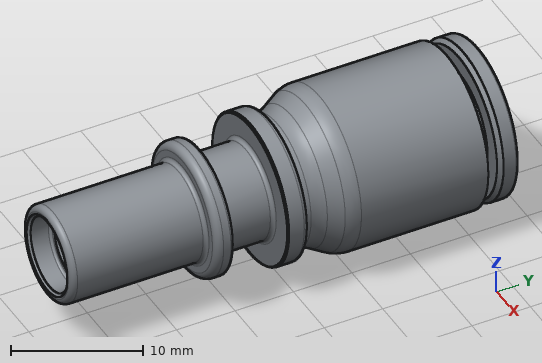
import cadquery as cq
import math

length = 36.9

shank_radius = 4.0
tip_round = 0.5
root_fillet = 0.35

ring_radius = 5.5
ring_front = 11.6
ring_back = 13.1
ring_front_round = 0.63
ring_back_round = 0.25

flange_radius = 6.2
flange_front = 17.35
flange_back = 19.1
flange_front_chamfer = 0.1
flange_back_round = 0.37

neck_radius = 5.42
neck_fillet = 0.2
taper_start = 19.75
taper_angle = math.radians(30)
blend_radius = 2.45
body_radius = 6.75
body_back = 34.2

collar_neck_radius = 4.7
collar_radius = 6.55
collar_front = 35.25
collar_front_chamfer = 0.37
collar_back_round = 0.22

bore_radius = 2.47
counterbore_radius = 3.05
counterbore_depth = 1.95
counterbore_fillet = 0.22
mouth_chamfer = 0.22

blend_rise = blend_radius * (1 - math.cos(taper_angle))
blend_run = blend_radius * math.sin(taper_angle)
cone_rise = body_radius - neck_radius - 2 * blend_rise
cone_run = cone_rise / math.tan(taper_angle)
cone_start = taper_start + blend_run
cone_end = cone_start + cone_run
taper_end = cone_end + blend_run


def fillet(profile, end_radius, end_station, size):
    return profile.radiusArc((end_radius, end_station), size)


def round_over(profile, end_radius, end_station, size):
    return profile.radiusArc((end_radius, end_station), -size)


def outer_body():
    profile = cq.Workplane("XY").lineTo(shank_radius - tip_round, 0)

    profile = round_over(profile, shank_radius, tip_round, tip_round)
    profile = profile.lineTo(shank_radius, ring_front - root_fillet)
    profile = fillet(profile, shank_radius + root_fillet, ring_front, root_fillet)

    profile = profile.lineTo(ring_radius - ring_front_round, ring_front)
    profile = round_over(profile, ring_radius, ring_front + ring_front_round, ring_front_round)
    profile = profile.lineTo(ring_radius, ring_back - ring_back_round)
    profile = round_over(profile, ring_radius - ring_back_round, ring_back, ring_back_round)
    profile = profile.lineTo(shank_radius + root_fillet, ring_back)
    profile = fillet(profile, shank_radius, ring_back + root_fillet, root_fillet)

    profile = profile.lineTo(shank_radius, flange_front - root_fillet)
    profile = fillet(profile, shank_radius + root_fillet, flange_front, root_fillet)

    profile = profile.lineTo(flange_radius - flange_front_chamfer, flange_front)
    profile = profile.lineTo(flange_radius, flange_front + flange_front_chamfer)
    profile = profile.lineTo(flange_radius, flange_back - flange_back_round)
    profile = round_over(profile, flange_radius - flange_back_round, flange_back, flange_back_round)
    profile = profile.lineTo(neck_radius + neck_fillet, flange_back)
    profile = fillet(profile, neck_radius, flange_back + neck_fillet, neck_fillet)

    profile = profile.lineTo(neck_radius, taper_start)
    profile = fillet(profile, neck_radius + blend_rise, cone_start, blend_radius)
    profile = profile.lineTo(body_radius - blend_rise, cone_end)
    profile = round_over(profile, body_radius, taper_end, blend_radius)
    profile = profile.lineTo(body_radius, body_back)

    profile = (
        profile.lineTo(collar_neck_radius, body_back)
        .lineTo(collar_neck_radius, collar_front)
        .lineTo(collar_radius - collar_front_chamfer, collar_front)
        .lineTo(collar_radius, collar_front + collar_front_chamfer)
        .lineTo(collar_radius, length - collar_back_round)
    )
    profile = round_over(profile, collar_radius - collar_back_round, length, collar_back_round)
    return profile.lineTo(0, length).close().revolve(360, (0, 0, 0), (0, 1, 0))


def bore():
    profile = (
        cq.Workplane("XY")
        .lineTo(counterbore_radius + mouth_chamfer, 0)
        .lineTo(counterbore_radius, mouth_chamfer)
        .lineTo(counterbore_radius, counterbore_depth - counterbore_fillet)
    )
    profile = round_over(
        profile, counterbore_radius - counterbore_fillet, counterbore_depth, counterbore_fillet
    )
    profile = profile.lineTo(bore_radius, counterbore_depth).lineTo(bore_radius, length).lineTo(0, length)
    return profile.close().revolve(360, (0, 0, 0), (0, 1, 0))


result = outer_body().cut(bore())